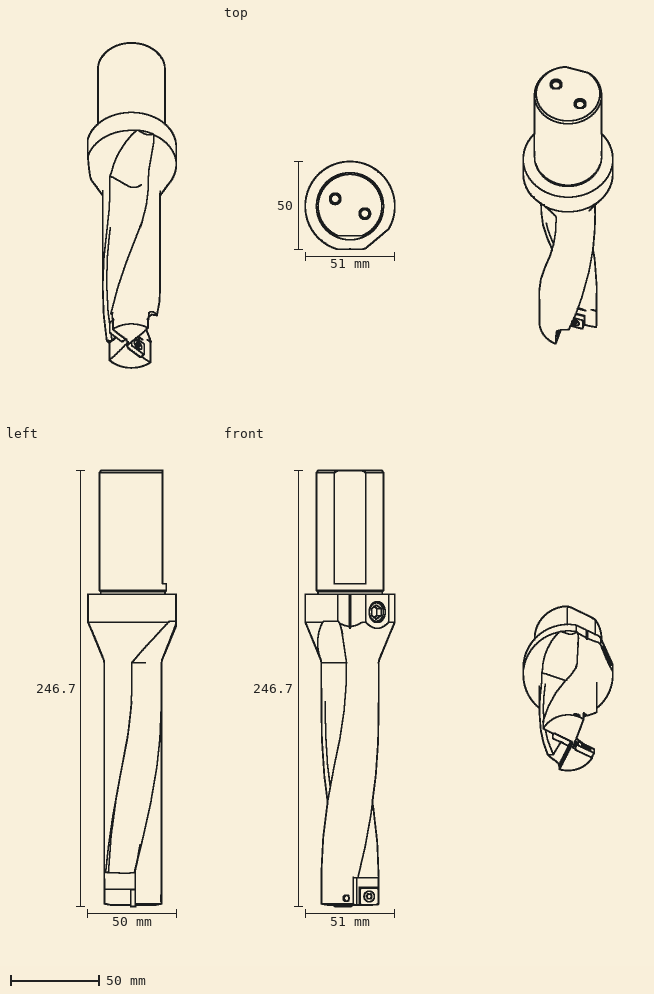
import cadquery as cq
import math

overall_length = 246.7
nose_z = 0.7
nose_bevel_z = 1.5
flute_end_z = 16.3
helix_top_z = 83.9
flute_straight_z = 133.2
cone_bottom_z = 138.0
cone_blend_z = 139.5
collar_bottom_z = 160.8
collar_top_z = 176.6
neck_top_z = 178.0
shank_flat_z = 182.5

body_radius = 16.3
cone_blend_radius = 16.5
nose_radius = 12.3
collar_radius = 25.5
shank_radius = 19.0
neck_radius = 18.3
shank_bevel = 1.0
shank_bevel_height = 1.5
neck_bevel = 0.7

shank_flat_offset = 16.8
collar_flat_offset = 24.5
plug_flat_offset = 24.0
plug_flat_angle = -50.0
index_groove_width = 1.0
index_groove_depth = 0.5

plug_z = 166.5
plug_radius = 5.2
plug_length = 9.9
plug_bevel = 0.7
plug_hex_corners = 8.0
plug_hex_depth = 3.7

inlet_x = 8.5
inlet_y = -4.2
inlet_mouth_diameter = 6.5
inlet_mouth_depth = 1.0
inlet_diameter = 4.7
inlet_depth = 14.8
outlet_angle = 262.0
outlet_z = 4.7
outlet_diameter = 3.5
outlet_depth = 5.0

land_outer_x = -23.5
land_outer_top_y = 2.7
land_outer_tip_y = -10.5
floor_start = (-14.0, 0.0)
floor_end = (-4.0, -1.2)
gullet_middle = (-0.7, -2.7)
gullet_end = (0.37, -8.6)
wall_outer = (-5.2, -25.7)
flute_outside = (-32.0, -32.0)
land_change_z = 39.5
helix_rate = 0.8918
flute_sections = 14
runout_top_z = 161.3
runout_lean_x = -0.3
runout_lean_y = -0.85

pocket_floor_y = 1.2
seat_y = 1.7
seat_clearance = 0.5
pocket_wall_outer_x = 1.5
pocket_wall_inner_x = 3.7
outer_insert_x = 10.9
outer_insert_bottom_z = 1.0
inner_insert_x = 4.0
inner_insert_bottom_z = 0.0
inner_wall_x = -2.0
inner_wall_step = 0.5
inner_wall_step_z = 9.5
inner_pocket_top_z = 19.2
inner_pocket_round = 6.0
insert_width = 10.0
insert_height = 9.4
insert_thickness = 3.0
insert_corner = 0.7
pocket_reach = 19.7
pocket_start_z = -2.5

screw_head_radius = 3.0
screw_shank_radius = 1.7
screw_cone_height = 1.2
screw_length = 7.5
screw_socket_corners = 3.0
screw_socket_depth = 1.0

front_angle = -90.0
half_turn = 180.0
full_turn = 360.0
hex_sides = 6


def turn(shape, degrees):
    """Turn a shape about the drill axis."""
    return shape.rotate((0, 0, 0), (0, 0, 1), degrees)


def turned_blank():
    """Shank, neck, collar, cone and fluted length as one turned profile."""
    outline = [
        (0, nose_z),
        (nose_radius, nose_z),
        (body_radius, nose_bevel_z),
        (body_radius, cone_bottom_z),
        (cone_blend_radius, cone_blend_z),
        (collar_radius, collar_bottom_z),
        (collar_radius, collar_top_z),
        (neck_radius, collar_top_z),
        (neck_radius, neck_top_z),
        (shank_radius, neck_top_z + neck_bevel),
        (shank_radius, overall_length - shank_bevel_height),
        (shank_radius - shank_bevel, overall_length),
        (0, overall_length),
    ]
    return cq.Workplane("XZ").polyline(outline).close().revolve(full_turn, (0, 0), (0, 1))


def flat_cutter(offset, angle, bottom_z, top_z):
    """Block that planes a flat at a distance from the axis, facing the angle."""
    size = 2 * collar_radius
    block = cq.Workplane("XY", origin=(0, 0, bottom_z)).center(offset + size / 2, 0)
    return turn(block.rect(size, size).extrude(top_z - bottom_z), angle)


def index_groove():
    """V groove down the middle of the front collar flat."""
    groove = (
        cq.Workplane("XY", origin=(0, 0, cone_bottom_z))
        .moveTo(-index_groove_width / 2, -collar_flat_offset)
        .lineTo(0, index_groove_depth - collar_flat_offset)
        .lineTo(index_groove_width / 2, -collar_flat_offset)
        .close()
    )
    return groove.extrude(collar_top_z - cone_bottom_z)


def flute_phase(z):
    """Turn of the flute at a height: straight on top, easing into a helix."""
    blend_length = flute_straight_z - helix_top_z
    if z >= flute_straight_z:
        return 0.0
    if z >= helix_top_z:
        return -helix_rate * (flute_straight_z - z) ** 2 / (2 * blend_length)
    return -helix_rate * (blend_length / 2 + helix_top_z - z)


def land_outer_y(z):
    """Swing of the land as the flute descends, complete at the change level."""
    descent = (flute_straight_z - z) / (flute_straight_z - land_change_z)
    share = min(max(descent, 0.0), 1.0)
    return land_outer_top_y + share * (land_outer_tip_y - land_outer_top_y)


def flute_wire(z):
    """Closed flute section at a height, turned to its phase."""
    section = (
        cq.Workplane("XY", origin=(0, 0, z))
        .moveTo(land_outer_x, land_outer_y(z))
        .lineTo(*floor_start)
        .lineTo(*floor_end)
        .threePointArc(gullet_middle, gullet_end)
        .lineTo(*wall_outer)
        .lineTo(*flute_outside)
        .close()
    )
    return turn(section.val(), flute_phase(z))


def flute_cutters():
    """Twisted flute and the runout slanting through the cone."""
    step = (cone_bottom_z - flute_end_z) / (flute_sections - 1)
    wires = [flute_wire(flute_end_z + step * i) for i in range(flute_sections)]
    twisted = cq.Solid.makeLoft(wires)
    rise = runout_top_z - cone_bottom_z
    runout_path = cq.Vector(runout_lean_x * rise, runout_lean_y * rise, rise)
    runout = cq.Solid.extrudeLinear(wires[-1], [], runout_path)
    return [twisted, runout]


def outer_pocket():
    """Open pocket in front of the outer insert, with a leaning side wall."""
    outline = [
        (pocket_wall_inner_x, pocket_floor_y),
        (pocket_reach, pocket_floor_y),
        (pocket_reach, -pocket_reach),
        (pocket_wall_outer_x, -pocket_reach),
    ]
    pocket = cq.Workplane("XY", origin=(0, 0, pocket_start_z)).polyline(outline).close()
    return pocket.extrude(flute_end_z - pocket_start_z)


def inner_pocket():
    """Open pocket past the axis, with a stepped wall rounded into its ceiling."""
    pocket = (
        cq.Workplane("XZ", origin=(0, pocket_floor_y, 0))
        .moveTo(inner_wall_x - inner_wall_step, pocket_start_z)
        .lineTo(inner_wall_x - inner_wall_step, inner_wall_step_z)
        .lineTo(inner_wall_x, inner_wall_step_z)
        .lineTo(inner_wall_x, inner_pocket_top_z - inner_pocket_round)
        .radiusArc((inner_wall_x + inner_pocket_round, inner_pocket_top_z), inner_pocket_round)
        .lineTo(pocket_reach, inner_pocket_top_z)
        .lineTo(pocket_reach, pocket_start_z)
        .close()
    )
    return pocket.extrude(pocket_reach)


def insert_blank(x, bottom_z):
    """Rounded plate lying on its seat and facing the flute."""
    middle_z = bottom_z + insert_height / 2
    plate = cq.Workplane("XZ", origin=(x, seat_y, middle_z)).rect(insert_width, insert_height)
    return plate.extrude(insert_thickness).edges("|Y").fillet(insert_corner)


def screw_blank(x, bottom_z):
    """Countersunk screw, flush with the insert face."""
    outline = [
        (0, 0),
        (screw_head_radius, 0),
        (screw_shank_radius, screw_cone_height),
        (screw_shank_radius, screw_length),
        (0, screw_length),
    ]
    face_y = seat_y - insert_thickness
    middle_z = bottom_z + insert_height / 2
    screw = cq.Workplane("XY").polyline(outline).close().revolve(full_turn, (0, 0), (0, 1))
    return screw.translate((x, face_y, middle_z))


def make_insert(x, bottom_z):
    """Insert plate with a countersunk hole for its screw."""
    return insert_blank(x, bottom_z).cut(screw_blank(x, bottom_z))


def make_screw(x, bottom_z):
    """Insert screw with a hexagon socket."""
    screw = screw_blank(x, bottom_z)
    socket = screw.faces("<Y").workplane(centerOption="CenterOfMass")
    return socket.polygon(hex_sides, screw_socket_corners).cutBlind(-screw_socket_depth)


def seat_cutter(x, bottom_z):
    """Shallow recess around an insert, open towards the tip."""
    height = bottom_z + insert_height + seat_clearance - pocket_start_z
    seat = cq.Workplane("XZ", origin=(x, seat_y, pocket_start_z + height / 2))
    return seat.rect(insert_width + 2 * seat_clearance, height).extrude(insert_thickness)


def plug_plane(offset):
    """Work plane square to the plug axis at a distance from the drill axis."""
    angle = math.radians(plug_flat_angle)
    outward = (math.cos(angle), math.sin(angle), 0)
    origin = (offset * outward[0], offset * outward[1], plug_z)
    return cq.Workplane(cq.Plane(origin=origin, xDir=(0, 0, 1), normal=outward))


def plug_hole():
    """Bevelled hole that the plug fills up to the foot of the bevel."""
    mouth = plug_plane(plug_flat_offset - plug_bevel).circle(plug_radius)
    mouth = mouth.workplane(offset=plug_bevel).circle(plug_radius + plug_bevel).loft()
    bore = plug_plane(plug_flat_offset - plug_bevel).circle(plug_radius).extrude(-plug_length)
    return mouth.union(bore)


def make_plug():
    """Plug with a hexagon socket in its outer end."""
    plug = plug_plane(plug_flat_offset - plug_bevel).circle(plug_radius).extrude(-plug_length)
    socket = plug_plane(plug_flat_offset - plug_bevel).polygon(hex_sides, plug_hex_corners)
    return plug.cut(socket.extrude(-plug_hex_depth))


def coolant_inlet():
    """Stepped blind hole in the shank end."""
    top = cq.Workplane("XY", origin=(inlet_x, inlet_y, overall_length))
    mouth = top.circle(inlet_mouth_diameter / 2).extrude(-inlet_mouth_depth)
    return mouth.union(top.circle(inlet_diameter / 2).extrude(-inlet_depth))


def coolant_outlet():
    """Radial blind hole beside the tip."""
    side = cq.Workplane("YZ", origin=(body_radius - outlet_depth, 0, outlet_z))
    return turn(side.circle(outlet_diameter / 2).extrude(2 * outlet_depth), outlet_angle)


insert_places = [
    (outer_insert_x, outer_insert_bottom_z, 0.0),
    (inner_insert_x, inner_insert_bottom_z, half_turn),
]

drill = turned_blank()
drill = drill.cut(flat_cutter(shank_flat_offset, front_angle, shank_flat_z, overall_length))
drill = drill.cut(flat_cutter(collar_flat_offset, front_angle, cone_bottom_z, collar_top_z))
drill = drill.cut(flat_cutter(plug_flat_offset, plug_flat_angle, cone_bottom_z, collar_top_z))
drill = drill.cut(index_groove())
for side_angle in (0.0, half_turn):
    for cutter in flute_cutters():
        drill = drill.cut(cq.Workplane(turn(cutter, side_angle)))
    drill = drill.cut(turn(coolant_inlet(), side_angle))
drill = drill.cut(coolant_outlet())
drill = drill.cut(outer_pocket())
drill = drill.cut(turn(inner_pocket(), half_turn))
for x, bottom_z, angle in insert_places:
    drill = drill.cut(turn(seat_cutter(x, bottom_z), angle))
    drill = drill.cut(turn(screw_blank(x, bottom_z), angle))
drill = drill.cut(plug_hole())

inserts = [turn(make_insert(x, z), angle) for x, z, angle in insert_places]
screws = [turn(make_screw(x, z), angle) for x, z, angle in insert_places]
plug = make_plug()

result = cq.Compound.makeCompound(
    [
        drill.solids().val(),
        *[insert.val() for insert in inserts],
        *[screw.val() for screw in screws],
        plug.val(),
    ]
)